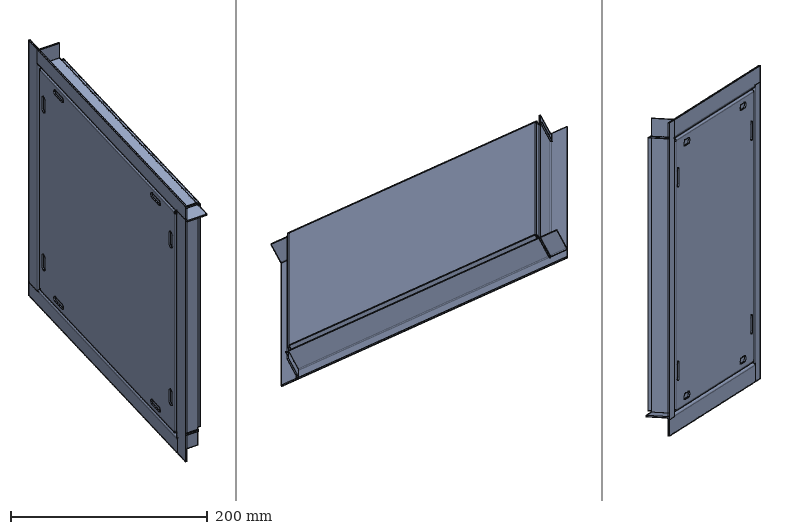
import cadquery as cq

frame_side = 323.8
overall_depth = 29.0

flange_width = 20.0
web_depth = 25.0
angle_thickness = 1.5
angle_bend_radius = 2.5
short_end_inset = 16.8
side_count = 4

tray_clearance = 0.5
tray_thickness = 1.5
tray_bend_radius = 2.0
corner_relief = 2.5
corner_slit = 0.3

slot_length = 20.0
slot_width = 6.0
slot_spacing = 200.0
slot_edge_distance = 10.0

half_side = frame_side / 2
opening_side = frame_side - 2 * flange_width
angle_length = frame_side - short_end_inset
lap_depth = web_depth / 2
tray_side = opening_side - 2 * tray_clearance
cavity_side = tray_side - 2 * tray_thickness
slot_centre_distance = tray_side / 2 - slot_edge_distance


def turned(body, quarter_turns):
    """Turn a body about the Y axis; one quarter turn takes the left side to the top."""
    return body.rotate((0, 0, 0), (0, 1, 0), 90 * quarter_turns)


def slab(front, back):
    """Block that spans the whole frame between two depths."""
    return (
        cq.Workplane("XY")
        .box(frame_side, back - front, frame_side, centered=(True, False, True))
        .translate((0, front, 0))
    )


def plain_angle():
    """Left angle before lapping: flange on the front, web along the opening, flush at the top."""
    outer_x = -half_side
    web_x = outer_x + flange_width
    bend_x = web_x - angle_bend_radius
    inner_radius = angle_bend_radius - angle_thickness
    return (
        cq.Workplane("XY", origin=(0, 0, half_side - angle_length))
        .moveTo(outer_x, 0)
        .lineTo(bend_x, 0)
        .radiusArc((web_x, angle_bend_radius), -angle_bend_radius)
        .lineTo(web_x, web_depth)
        .lineTo(web_x - angle_thickness, web_depth)
        .lineTo(web_x - angle_thickness, angle_bend_radius)
        .radiusArc((bend_x, angle_thickness), inner_radius)
        .lineTo(outer_x, angle_thickness)
        .close()
        .extrude(angle_length)
    )


def frame_angle():
    """Left angle, half-lapped with its neighbours where their webs cross."""
    angle = plain_angle()
    front_of_top_angle = turned(angle, 1).intersect(slab(0, lap_depth))
    back_of_bottom_angle = turned(angle, -1).intersect(slab(lap_depth, web_depth))
    return angle.cut(front_of_top_angle).cut(back_of_bottom_angle)


def rounded_block(side, front, edge_radius):
    """Square block that reaches the back, with its four front edges rounded."""
    block = cq.Workplane("XY").box(
        side, overall_depth - front, side, centered=(True, False, True)
    )
    return block.translate((0, front, 0)).faces("<Y").edges().fillet(edge_radius)


def tray_cavity():
    """Space inside the tray, which is also the shape of the board."""
    return rounded_block(cavity_side, tray_thickness, tray_bend_radius - tray_thickness)


def corner_relief_cutter():
    """Square notch that parts the bends at one corner of the front."""
    centre = (tray_side - corner_relief) / 2
    return (
        cq.Workplane("XY")
        .box(corner_relief, tray_bend_radius, corner_relief, centered=(True, False, True))
        .translate((centre, 0, centre))
    )


def edge_slots():
    """Cutters for the two slots along the top edge of the tray."""
    return (
        cq.Workplane("XZ", origin=(0, 0, slot_centre_distance))
        .pushPoints([(-slot_spacing / 2, 0), (slot_spacing / 2, 0)])
        .slot2D(slot_length, slot_width)
        .extrude(-tray_thickness)
    )


def wall_slits():
    """Cutters that part the top wall from the two side walls."""
    slit_x = (cavity_side - corner_slit) / 2
    slit_z = (tray_side - tray_bend_radius) / 2
    return (
        cq.Workplane("XZ", origin=(0, 0, slit_z))
        .pushPoints([(-slit_x, 0), (slit_x, 0)])
        .rect(corner_slit, tray_bend_radius)
        .extrude(-overall_depth)
    )


def door_tray():
    """Tray open at the back, with slots, corner reliefs and slits between its walls."""
    tray = rounded_block(tray_side, 0, tray_bend_radius).cut(tray_cavity())
    for quarter in range(side_count):
        tray = tray.cut(turned(edge_slots(), quarter)).cut(turned(corner_relief_cutter(), quarter))
    bottom_slits = turned(wall_slits(), 2)
    return tray.cut(wall_slits()).cut(bottom_slits)


angle = frame_angle()
frame_angles = [turned(angle, quarter).val() for quarter in range(side_count)]
tray = door_tray()
board = tray_cavity()

result = cq.Compound.makeCompound([*frame_angles, tray.val(), board.val()])